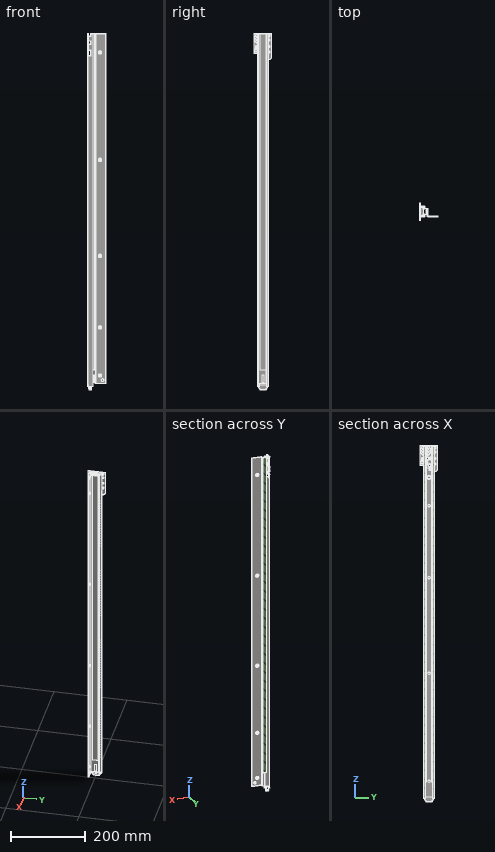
import cadquery as cq


total_length = 953.75
total_depth = 49.09
slide_y = 0.75

rail_top = -59.0
rail_bottom = -945.0
rail_width = 29.2
rail_depth = 14.6
rail_sheet = 1.5
rail_radius = 3.6
rail_opening = 18.0

plate_width = 48.0
plate_sheet = 2.0
plate_short_side = 53.5
plate_long_side = 70.0
plate_tail_y = 11.0
plate_corner = 5.0
lip_start_x = 8.0
standoff_spans = [(-7.0, -20.0), (-28.0, -45.0)]

corner_hole_at = (15.6, -5.8)
corner_hole_diameter = 6.5
edge_hole_y = 17.2
edge_hole_heights = [-17.0, -34.5, -49.0]
edge_hole_diameter = 4.0
recess_depth = 0.7
recess_at = (-8.5, -14.0)
recess_diameter = 28.0
recess_hole_rows = [-6.0, -14.0, -22.0]
recess_hole_columns = [-16.0, -8.5, -1.0]
recess_hole_diameter = 5.0
lower_hole_positions = [
    (7.0, -34.0),
    (-3.0, -35.0),
    (-15.0, -36.0),
    (-7.0, -46.0),
    (-18.0, -45.0),
    (2.5, -53.0),
]
lower_hole_diameter = 6.0
lower_recess_diameter = 9.0

slot_at = (5.3, -64.0)
slot_width = 8.4
slot_height = 5.4
slot_rim = 2.2
large_hole_z = -85.0
large_hole_diameter = 6.5
large_sink_diameter = 11.0
small_hole_heights = [-161.0, -353.5, -609.0, -898.0]
small_hole_diameter = 5.5

stop_front_x = 11.0
stop_width = 23.0
stop_tip_width = 15.0
stop_shoulder = 6.0
stop_engagement = 4.0
stop_back_x = 3.0
stop_slot_x = 5.0
stop_slot_width = 2.8
stop_slot_height = 4.0
stop_step_height = 3.5
stop_step_depth = 0.8

web_x = 20.0
angle_sheet = 2.2
angle_length = 937.0
web_edge_y = 9.0
flange_y = -13.5
flange_sheet = 2.5
bend_radius = 2.6
flange_hole_x = 33.2
flange_hole_heights = [-50.5, -338.0, -595.0, -786.5, -915.0]
flange_hole_diameter = 3.6
flange_sink_diameter = 9.0
flange_sink_depth = 2.0
end_hole_x = 40.2
end_hole_z = -927.5
end_hole_diameter = 6.0
tab_reach = 3.0
tab_top = -914.0
tab_bottom = -934.0
tab_width = 6.0

middle_length = 900.0
middle_sheet = 1.5
crown_half_width = 7.8
brim_half_width = 11.0
brim_x = 9.5


def block(x_range, y_range, z_range):
    """Box between two limits on each axis."""
    low = cq.Vector(min(x_range), min(y_range), min(z_range))
    size_x = abs(x_range[1] - x_range[0])
    size_y = abs(y_range[1] - y_range[0])
    size_z = abs(z_range[1] - z_range[0])
    return cq.Workplane(cq.Solid.makeBox(size_x, size_y, size_z, low))


def bore_x(y, z, diameter, depth=rail_depth):
    """Cylinder along +X, starting at X = 0."""
    start = cq.Vector(0, y, z)
    return cq.Workplane(cq.Solid.makeCylinder(diameter / 2, depth, start, cq.Vector(1, 0, 0)))


def channel(top, bottom):
    """C channel with its web at X = 0 and its opening toward +X."""
    length = top - bottom
    outer = (
        cq.Workplane("XY", origin=(rail_depth / 2, slide_y, bottom))
        .rect(rail_depth, rail_width)
        .extrude(length)
        .edges("|Z")
        .fillet(rail_radius)
    )
    inner = (
        cq.Workplane("XY", origin=(rail_depth / 2, slide_y, bottom))
        .rect(rail_depth - 2 * rail_sheet, rail_width - 2 * rail_sheet)
        .extrude(length)
        .edges("|Z")
        .fillet(rail_radius - rail_sheet)
    )
    half_opening = rail_opening / 2
    opening = block(
        (rail_depth / 2, rail_depth),
        (slide_y - half_opening, slide_y + half_opening),
        (bottom, top),
    )
    return outer.cut(inner).cut(opening)


def head_plate():
    """Flat plate whose long side runs down beside the rail."""
    half = plate_width / 2
    rail_edge = slide_y - rail_width / 2 + rail_radius
    overlap_z = rail_top - rail_sheet
    plate = (
        cq.Workplane("YZ")
        .moveTo(-half, 0)
        .lineTo(half, 0)
        .lineTo(half, plate_corner - plate_long_side)
        .lineTo(half - plate_corner, -plate_long_side)
        .lineTo(plate_tail_y, -plate_long_side)
        .lineTo(plate_tail_y, overlap_z)
        .lineTo(rail_edge, overlap_z)
        .lineTo(rail_edge, -plate_short_side)
        .lineTo(-half, -plate_short_side)
        .close()
        .extrude(plate_sheet)
    )
    plate = plate.cut(bore_x(*corner_hole_at, corner_hole_diameter))
    for z in edge_hole_heights:
        plate = plate.cut(bore_x(edge_hole_y, z, edge_hole_diameter))
    plate = plate.cut(bore_x(*recess_at, recess_diameter, recess_depth))
    for y in recess_hole_columns:
        for z in recess_hole_rows:
            plate = plate.cut(bore_x(y, z, recess_hole_diameter))
    for y, z in lower_hole_positions:
        plate = plate.cut(bore_x(y, z, lower_hole_diameter))
        plate = plate.cut(bore_x(y, z, lower_recess_diameter, recess_depth))
    return plate


def lip_extension():
    """Lips of the channel carried up to the top, tied to the head plate by standoffs."""
    half = rail_width / 2
    lips = channel(0, rail_top).intersect(
        block((lip_start_x, rail_depth), (slide_y - half, slide_y + half), (rail_top, 0))
    )
    edge_y = slide_y - half
    for top, bottom in standoff_spans:
        standoff = block(
            (plate_sheet, lip_start_x + rail_sheet),
            (edge_y, edge_y + rail_sheet),
            (top, bottom),
        )
        lips = lips.union(standoff)
    return lips


def end_stop():
    """Tapered stop with a slotted tip below the rail."""
    tip_z = -total_length
    shoulder_z = tip_z + stop_shoulder
    stop = (
        cq.Workplane("YZ", origin=(stop_back_x, slide_y, 0))
        .moveTo(-stop_width / 2, rail_bottom)
        .lineTo(stop_width / 2, rail_bottom)
        .lineTo(stop_width / 2, shoulder_z)
        .lineTo(stop_tip_width / 2, tip_z)
        .lineTo(-stop_tip_width / 2, tip_z)
        .lineTo(-stop_width / 2, shoulder_z)
        .close()
        .extrude(stop_front_x - stop_back_x)
    )
    half = stop_width / 2
    stem = block(
        (rail_sheet, stop_front_x),
        (slide_y - half, slide_y + half),
        (rail_bottom, rail_bottom + stop_engagement),
    )
    slot = block(
        (stop_slot_x, stop_slot_x + stop_slot_width),
        (slide_y - half, slide_y + half),
        (tip_z, tip_z + stop_slot_height),
    )
    step = block(
        (stop_back_x, stop_back_x + stop_step_depth),
        (slide_y - half, slide_y + half),
        (tip_z, tip_z + stop_step_height),
    )
    return stop.union(stem).cut(slot).cut(step)


def make_outer_rail():
    rail = channel(rail_top, rail_bottom)
    y, z = slot_at
    for margin, depth in ((0, recess_depth), (slot_rim, rail_depth / 2)):
        half_y = (slot_width - margin) / 2
        half_z = (slot_height - margin) / 2
        rail = rail.cut(block((0, depth), (y - half_y, y + half_y), (z - half_z, z + half_z)))
    rail = rail.cut(bore_x(slide_y, large_hole_z, large_hole_diameter, rail_depth / 2))
    rail = rail.cut(bore_x(slide_y, large_hole_z, large_sink_diameter, recess_depth))
    for z in small_hole_heights:
        rail = rail.cut(bore_x(slide_y, z, small_hole_diameter, rail_depth / 2))
    return rail.union(lip_extension()).union(head_plate()).union(end_stop())


def make_middle_rail():
    half_outline = [
        (brim_x, brim_half_width),
        (brim_x + middle_sheet, brim_half_width),
        (brim_x + middle_sheet, crown_half_width),
        (web_x, crown_half_width),
    ]
    inner_half_outline = [
        (web_x - middle_sheet, crown_half_width - middle_sheet),
        (brim_x, crown_half_width - middle_sheet),
    ]
    outer_path = half_outline + [(x, -y) for x, y in reversed(half_outline)]
    inner_path = [(x, -y) for x, y in reversed(inner_half_outline)] + inner_half_outline
    return (
        cq.Workplane("XY", origin=(0, slide_y, 0))
        .polyline(outer_path + inner_path)
        .close()
        .extrude(-middle_length)
    )


def make_cabinet_rail():
    angle = (
        cq.Workplane("XY")
        .moveTo(web_x, web_edge_y)
        .lineTo(web_x, flange_y + bend_radius)
        .radiusArc((web_x + bend_radius, flange_y), -bend_radius)
        .lineTo(total_depth, flange_y)
        .lineTo(total_depth, flange_y + flange_sheet)
        .lineTo(web_x + angle_sheet, flange_y + flange_sheet)
        .lineTo(web_x + angle_sheet, web_edge_y)
        .close()
        .extrude(-angle_length)
    )
    along_y = cq.Vector(0, 1, 0)
    for z in flange_hole_heights:
        start = cq.Vector(flange_hole_x, flange_y, z)
        hole = cq.Solid.makeCylinder(flange_hole_diameter / 2, flange_sheet, start, along_y)
        sink = cq.Solid.makeCone(
            flange_sink_diameter / 2, flange_hole_diameter / 2, flange_sink_depth, start, along_y
        )
        angle = angle.cut(cq.Workplane(hole)).cut(cq.Workplane(sink))
    start = cq.Vector(end_hole_x, flange_y, end_hole_z)
    end_hole = cq.Solid.makeCylinder(end_hole_diameter / 2, flange_sheet, start, along_y)
    angle = angle.cut(cq.Workplane(end_hole))
    half = tab_width / 2
    tab = block((web_x - tab_reach, web_x), (slide_y - half, slide_y + half), (tab_top, tab_bottom))
    return angle.union(tab)


outer_rail = make_outer_rail()
middle_rail = make_middle_rail()
cabinet_rail = make_cabinet_rail()

result = cq.Compound.makeCompound([outer_rail.val(), middle_rail.val(), cabinet_rail.val()])